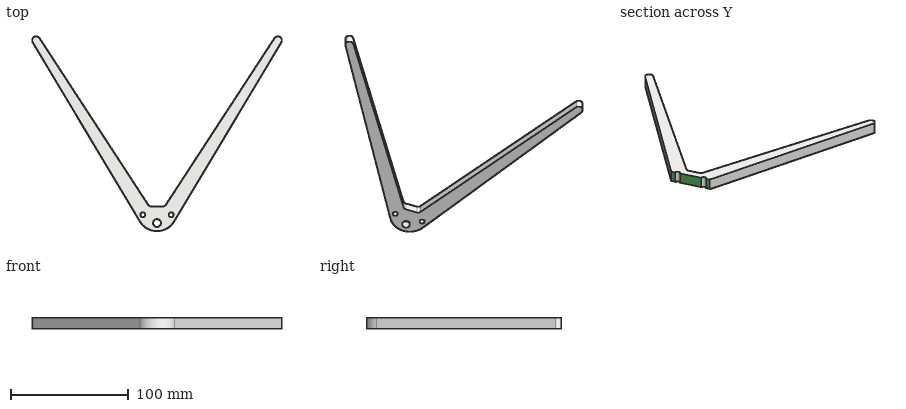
import cadquery as cq
import math

overall_width = 212.0
overall_depth = 165.43
thickness = 9.5

pivot_hole_diameter = 6.5
side_hole_diameter = 4.05
side_hole_x = 12.0
side_hole_y = 7.0
hub_radius = 17.0
hub_bottom_y = -7.0
hub_centre = (0.0, hub_bottom_y + hub_radius)

crotch_half_width = 6.6
crotch_y = 14.2
crotch_fillet_radius = 3.0

selection_margin = 1.0

tip_radius = 3.5
tip_centre = (
    overall_width / 2 - tip_radius,
    hub_bottom_y + overall_depth - tip_radius,
)


def point_on_circle(centre, radius, angle):
    """Point of a circle at an angle in radians from +X."""
    return (centre[0] + radius * math.cos(angle), centre[1] + radius * math.sin(angle))


def mirrored(point):
    """Same point on the other arm."""
    return (-point[0], point[1])


def outer_normal_angle():
    """Direction of the outward normal of the line tangent to the hub and the right tip."""
    dx = tip_centre[0] - hub_centre[0]
    dy = tip_centre[1] - hub_centre[1]
    spread = math.acos((hub_radius - tip_radius) / math.hypot(dx, dy))
    return math.atan2(dy, dx) - spread


def inner_normal_angle():
    """Direction from the right tip centre to where the line from the crotch corner touches the tip."""
    dx = crotch_half_width - tip_centre[0]
    dy = crotch_y - tip_centre[1]
    spread = math.acos(tip_radius / math.hypot(dx, dy))
    return math.atan2(dy, dx) - spread


def make_plate():
    """V-shaped plate: round hub, tapered arms and rounded tips."""
    outer_angle = outer_normal_angle()
    inner_angle = inner_normal_angle() % (2 * math.pi)
    hub_tangent = point_on_circle(hub_centre, hub_radius, outer_angle)
    hub_bottom = (0.0, hub_bottom_y)
    tip_outer = point_on_circle(tip_centre, tip_radius, outer_angle)
    tip_end = point_on_circle(tip_centre, tip_radius, (outer_angle + inner_angle) / 2)
    tip_inner = point_on_circle(tip_centre, tip_radius, inner_angle)
    crotch_corner = (crotch_half_width, crotch_y)

    outline = (
        cq.Workplane("XY")
        .moveTo(*hub_tangent)
        .lineTo(*tip_outer)
        .threePointArc(tip_end, tip_inner)
        .lineTo(*crotch_corner)
        .lineTo(*mirrored(crotch_corner))
        .lineTo(*mirrored(tip_inner))
        .threePointArc(mirrored(tip_end), mirrored(tip_outer))
        .lineTo(*mirrored(hub_tangent))
        .threePointArc(hub_bottom, hub_tangent)
        .close()
    )
    return outline.extrude(thickness)


def round_crotch(plate):
    """Round the two concave corners at the ends of the crotch flat."""
    crotch_corners = cq.selectors.BoxSelector(
        (-crotch_half_width - selection_margin, crotch_y - selection_margin, -selection_margin),
        (crotch_half_width + selection_margin, crotch_y + selection_margin, thickness + selection_margin),
    )
    return plate.edges("|Z").edges(crotch_corners).fillet(crotch_fillet_radius)


def make_hole(centre, diameter):
    """Cylinder that cuts a hole through the full thickness."""
    return cq.Workplane("XY").center(*centre).circle(diameter / 2).extrude(thickness)


result = round_crotch(make_plate())
result = result.cut(make_hole((0.0, 0.0), pivot_hole_diameter))
for side in (-1, 1):
    result = result.cut(make_hole((side * side_hole_x, side_hole_y), side_hole_diameter))